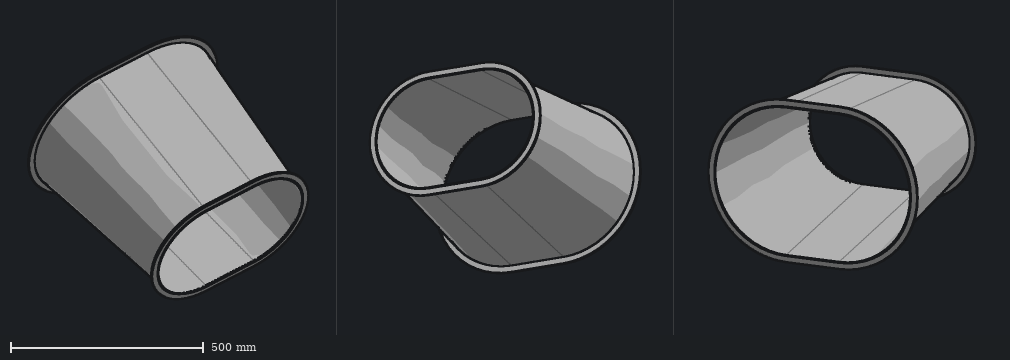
import cadquery as cq

flange_width = 590.0
straight = 150.0
length = 500.0
wall = 3.0
rim = 20.0
flange_thickness = 5.0
small_bore_radius = 150.0

large_flange_radius = (flange_width - straight) / 2
large_bore_radius = large_flange_radius - rim
small_flange_radius = small_bore_radius + rim


def obround(x, radius):
    """Closed wire of two flats and two half circles in the plane at x."""
    half = straight / 2
    return (
        cq.Workplane("YZ", origin=(x, 0, 0))
        .moveTo(-half, radius)
        .lineTo(half, radius)
        .threePointArc((half + radius, 0), (half, -radius))
        .lineTo(-half, -radius)
        .threePointArc((-half - radius, 0), (-half, radius))
        .close()
        .val()
    )


def tapered_solid(offset):
    """Solid between the two bore outlines, each enlarged by offset."""
    large_end = obround(0, large_bore_radius + offset)
    small_end = obround(length, small_bore_radius + offset)
    return cq.Workplane(cq.Solid.makeLoft([large_end, small_end], True))


def make_duct():
    """Thin tapered shell, open at both ends."""
    return tapered_solid(wall).cut(tapered_solid(0))


def make_flange(x, radius):
    """Flat ring starting at x, with an opening that fits the duct's outer skin."""
    plate = cq.Solid.extrudeLinear(obround(x, radius), [], cq.Vector(flange_thickness, 0, 0))
    return cq.Workplane(plate).cut(tapered_solid(wall))


duct = make_duct()
flange_places = [
    (0, large_flange_radius),
    (length - flange_thickness, small_flange_radius),
]
flanges = [make_flange(x, radius).val() for x, radius in flange_places]

result = cq.Compound.makeCompound([duct.val(), *flanges])